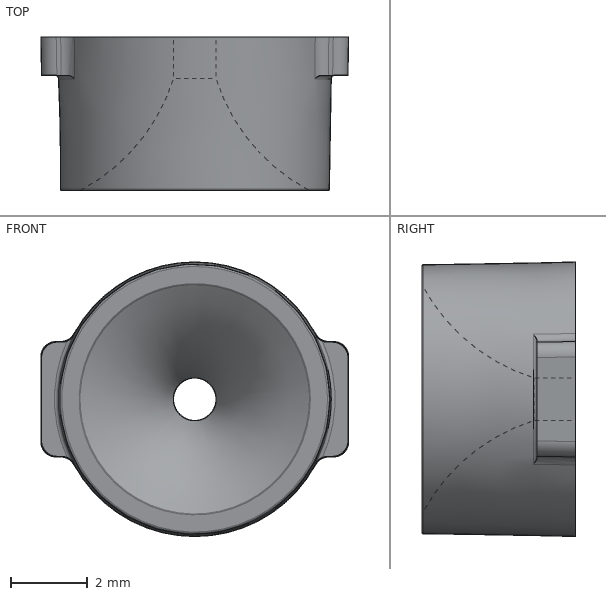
import cadquery as cq
import math

depth = 4.0
draft_angle = 1.0

back_radius = 3.57
front_edge_round = 0.05

mouth_radius = 2.99
throat_radius = 0.55
throat_start = 2.92
flare_arc_radius = 4.96

lug_span = 8.0
lug_height = 3.0
lug_thickness = 1.0
lug_corner_round = 0.4
lug_flank_round = 0.4
lug_root_round = 0.1

draft = math.radians(draft_angle)
front_radius = back_radius - depth * math.tan(draft)

lug_face_y = depth - lug_thickness
root_center_y = lug_face_y - lug_root_round
root_center_radius = front_radius + root_center_y * math.tan(draft) + lug_root_round / math.cos(draft)
root_end_radius = root_center_radius - lug_root_round * math.cos(draft)
root_end_y = root_center_y + lug_root_round * math.sin(draft)


def revolve_about_y(profile):
    return profile.close().revolve(360, (0, 0, 0), (0, 1, 0))


def make_body():
    """Drafted round body, widest at the back."""
    profile = cq.Workplane("XY").polyline([(0, 0), (front_radius, 0), (back_radius, depth), (0, depth)])
    return revolve_about_y(profile)


def make_lug_bar():
    """Drafted bar across the back whose rounded ends are the lugs; it reaches the foot of the root fillet."""
    bar = cq.Workplane("XZ", origin=(0, depth, 0)).rect(lug_span, lug_height)
    bar = bar.extrude(depth - root_end_y, taper=draft_angle)
    corners = bar.edges("not(#Y or |X or |Z)")
    return corners.fillet(lug_corner_round)


def round_lug_flanks(shell):
    """Blend the upper and lower sides of each lug into the round wall."""
    flank_x = math.sqrt(back_radius**2 - (lug_height / 2) ** 2)
    flank_z = lug_height / 2
    reach = 0.08
    flank_edges = cq.Workplane("XY")
    for x in (-flank_x, flank_x):
        for z in (-flank_z, flank_z):
            corner_low = (x - reach, root_end_y - reach, z - reach)
            corner_high = (x + reach, depth + reach, z + reach)
            selector = cq.selectors.BoxSelector(corner_low, corner_high, boundingbox=True)
            flank_edges = flank_edges.add(shell.edges(selector).vals())
    return shell.newObject(flank_edges.vals()).fillet(lug_flank_round)


def make_root_cutter():
    """Ring that trims the lugs back to their front face and leaves the concave root fillet."""
    diagonal = lug_root_round * math.sqrt(0.5)
    arc_middle = (root_center_radius - diagonal, root_center_y + diagonal)
    profile = (
        cq.Workplane("XY")
        .moveTo(root_end_radius, root_end_y)
        .threePointArc(arc_middle, (root_center_radius, lug_face_y))
        .lineTo(lug_span, lug_face_y)
        .lineTo(lug_span, root_end_y)
    )
    return revolve_about_y(profile)


def make_horn():
    """Flared opening: an arc narrowing from the mouth to the throat, then a straight hole."""
    taper = mouth_radius - throat_radius
    chord = math.hypot(taper, throat_start)
    bulge = flare_arc_radius - math.sqrt(flare_arc_radius**2 - (chord / 2) ** 2)
    arc_middle = (
        (mouth_radius + throat_radius) / 2 - bulge * throat_start / chord,
        throat_start / 2 - bulge * taper / chord,
    )
    profile = (
        cq.Workplane("XY")
        .lineTo(mouth_radius, 0)
        .threePointArc(arc_middle, (throat_radius, throat_start))
        .lineTo(throat_radius, depth)
        .lineTo(0, depth)
    )
    return revolve_about_y(profile)


shell = make_body().union(make_lug_bar())
shell = round_lug_flanks(shell)
shell = shell.cut(make_root_cutter())
shell = shell.cut(make_horn())
result = shell.faces("<Y").edges().fillet(front_edge_round)